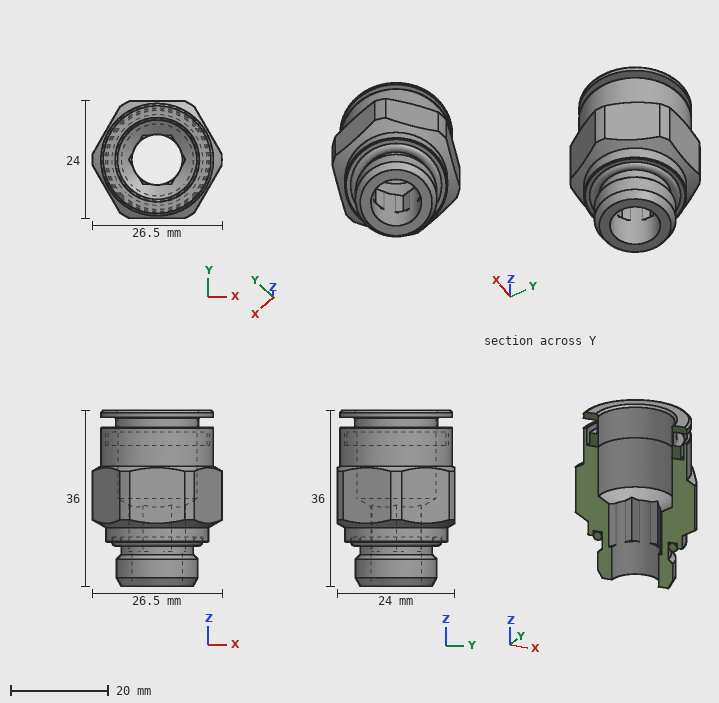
import cadquery as cq
import math

TOTAL_HEIGHT = 36.0

THREAD_DIAMETER = 16.65
LEAD_IN_DIAMETER = 14.65
LEAD_IN_HEIGHT = 1.8
THREAD_TOP = 5.58
NECK_DIAMETER = 14.75
NECK_BOTTOM = 6.48

COLLAR_DIAMETER = 21.0
COLLAR_FACE_DIAMETER = 20.4
COLLAR_CHAMFER_HEIGHT = 0.15
COLLAR_BOTTOM = 9.05
RING_BOTTOM = 8.2
RING_THICKNESS = 1.9

HEX_FLATS = 24.0
HEX_TURNED_DIAMETER = 26.5
HEX_BOTTOM = 12.0
HEX_TOP = 24.5
HEX_CHAMFER_ANGLE = 30.0

BODY_DIAMETER = 23.0
BODY_TOP = 32.47
BODY_CHAMFER = 0.18
SOCKET_BORE = 21.3
SOCKET_FLOOR = 28.8

SLEEVE_DIAMETER = 17.0
SLEEVE_BORE = 16.2
SLEEVE_MOUTH_DIAMETER = 17.2
FOOT_DIAMETER = 20.2
FOOT_TOP = 31.6
FOOT_FILLET = 0.2
FLANGE_DIAMETER = BODY_DIAMETER
FLANGE_BOTTOM = 34.5
FLANGE_CHAMFER = 0.5
FLANGE_ROOT_CHAMFER = 0.18

BORE_DIAMETER = 10.3
CONE_TOP = 18.0
CONE_ANGLE = 30.0
KEY_FLATS = 10.0
KEY_BOTTOM = 7.2


def revolve_profile(points):
    """Turn a closed (radius, height) outline about the Z axis."""
    return cq.Workplane("XZ").polyline(points).close().revolve(360, (0, 0), (0, 1))


def hex_prism(flats, bottom, top):
    """Hexagonal prism with two flats facing +Y and -Y."""
    corner_diameter = flats / math.cos(math.radians(30))
    return cq.Workplane("XY", origin=(0, 0, bottom)).polygon(6, corner_diameter).extrude(top - bottom)


def make_hex():
    """Hexagon whose corners are turned round and chamfered at both ends."""
    turned_radius = HEX_TURNED_DIAMETER / 2
    slope = math.tan(math.radians(HEX_CHAMFER_ANGLE))
    lower_chamfer = (turned_radius - COLLAR_DIAMETER / 2) * slope
    upper_chamfer = (turned_radius - BODY_DIAMETER / 2) * slope
    envelope = revolve_profile([
        (0, HEX_BOTTOM),
        (COLLAR_DIAMETER / 2, HEX_BOTTOM),
        (turned_radius, HEX_BOTTOM + lower_chamfer),
        (turned_radius, HEX_TOP - upper_chamfer),
        (BODY_DIAMETER / 2, HEX_TOP),
        (0, HEX_TOP),
    ])
    return hex_prism(HEX_FLATS, HEX_BOTTOM, HEX_TOP).intersect(envelope)


def make_turned_body():
    """Solid of revolution carrying the spigot, the collar and the socket end."""
    collar_radius = COLLAR_DIAMETER / 2
    body_radius = BODY_DIAMETER / 2
    return revolve_profile([
        (0, 0),
        (LEAD_IN_DIAMETER / 2, 0),
        (THREAD_DIAMETER / 2, LEAD_IN_HEIGHT),
        (THREAD_DIAMETER / 2, THREAD_TOP),
        (NECK_DIAMETER / 2, NECK_BOTTOM),
        (NECK_DIAMETER / 2, COLLAR_BOTTOM),
        (COLLAR_FACE_DIAMETER / 2, COLLAR_BOTTOM),
        (collar_radius, COLLAR_BOTTOM + COLLAR_CHAMFER_HEIGHT),
        (collar_radius, HEX_TOP),
        (body_radius, HEX_TOP),
        (body_radius, BODY_TOP - BODY_CHAMFER),
        (body_radius - BODY_CHAMFER, BODY_TOP),
        (0, BODY_TOP),
    ])


def make_passage():
    """Socket for the sleeve foot, tube bore, conical floor and through bore."""
    cone_height = (SLEEVE_BORE - BORE_DIAMETER) / 2 * math.tan(math.radians(CONE_ANGLE))
    return revolve_profile([
        (0, 0),
        (BORE_DIAMETER / 2, 0),
        (BORE_DIAMETER / 2, CONE_TOP - cone_height),
        (SLEEVE_BORE / 2, CONE_TOP),
        (SLEEVE_BORE / 2, SOCKET_FLOOR),
        (SOCKET_BORE / 2, SOCKET_FLOOR),
        (SOCKET_BORE / 2, BODY_TOP),
        (0, BODY_TOP),
    ])


def make_o_ring():
    """Round-section ring that fits closely around the neck."""
    section_radius = RING_THICKNESS / 2
    ring_radius = NECK_DIAMETER / 2 + section_radius
    ring_centre = cq.Vector(0, 0, RING_BOTTOM + section_radius)
    return cq.Workplane(cq.Solid.makeTorus(ring_radius, section_radius, ring_centre))


def make_housing():
    """Main body with its passage, hexagon key socket and O-ring recess."""
    ring_outer_diameter = NECK_DIAMETER + 2 * RING_THICKNESS
    ring_top = RING_BOTTOM + RING_THICKNESS
    recess_plane = cq.Workplane("XY", origin=(0, 0, COLLAR_BOTTOM))
    recess_section = recess_plane.circle(ring_outer_diameter / 2).circle(NECK_DIAMETER / 2)
    ring_recess = recess_section.extrude(ring_top - COLLAR_BOTTOM)
    housing = make_turned_body().union(make_hex())
    housing = housing.cut(make_passage())
    housing = housing.cut(hex_prism(KEY_FLATS, KEY_BOTTOM, CONE_TOP))
    return housing.cut(ring_recess)


def make_release_sleeve():
    """Thin sleeve with a chamfered push flange on top and a wider foot inside the socket."""
    sleeve_radius = SLEEVE_DIAMETER / 2
    flange_radius = FLANGE_DIAMETER / 2
    mouth_depth = (SLEEVE_MOUTH_DIAMETER - SLEEVE_BORE) / 2
    sleeve = revolve_profile([
        (SLEEVE_BORE / 2, SOCKET_FLOOR),
        (FOOT_DIAMETER / 2, SOCKET_FLOOR),
        (FOOT_DIAMETER / 2, FOOT_TOP),
        (sleeve_radius, FOOT_TOP),
        (sleeve_radius, FLANGE_BOTTOM - FLANGE_ROOT_CHAMFER),
        (sleeve_radius + FLANGE_ROOT_CHAMFER, FLANGE_BOTTOM),
        (flange_radius, FLANGE_BOTTOM),
        (flange_radius, TOTAL_HEIGHT - FLANGE_CHAMFER),
        (flange_radius - FLANGE_CHAMFER, TOTAL_HEIGHT),
        (SLEEVE_MOUTH_DIAMETER / 2, TOTAL_HEIGHT),
        (SLEEVE_BORE / 2, TOTAL_HEIGHT - mouth_depth),
    ])
    foot_corner = cq.selectors.BoxSelector(
        (-sleeve_radius, -sleeve_radius, FOOT_TOP - FOOT_FILLET / 2),
        (sleeve_radius, sleeve_radius, FOOT_TOP + FOOT_FILLET / 2),
    )
    inner_edge = sleeve.edges(foot_corner).edges(cq.selectors.RadiusNthSelector(0))
    return inner_edge.fillet(FOOT_FILLET)


o_ring = make_o_ring()
housing = make_housing()
release_sleeve = make_release_sleeve()

result = cq.Compound.makeCompound([housing.val(), o_ring.val(), release_sleeve.val()])